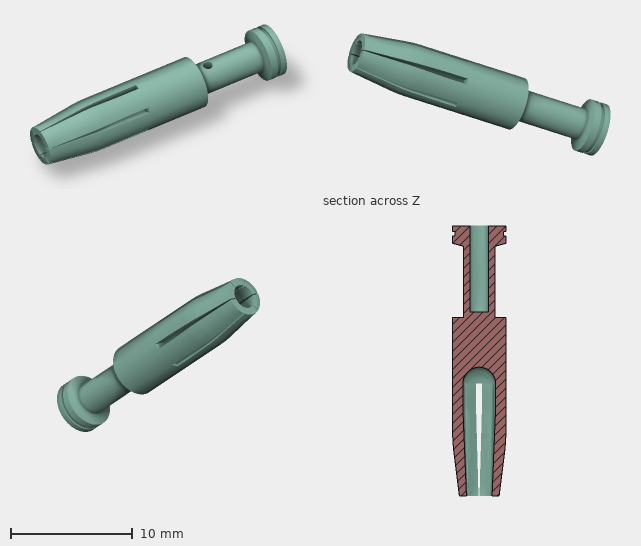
import cadquery as cq
import math

total_length = 22.2

body_diameter = 4.42
groove_diameter = 4.05
stem_diameter = 2.64
mouth_diameter = 3.3

taper_corner_y = 4.5
bend_tangent_length = 0.6
taper_start_y = taper_corner_y + bend_tangent_length
rear_length = 7.5
body_end_y = total_length - rear_length
front_flange_width = 0.62
groove_width = 0.32
rear_flange_width = 0.5
collar_cone_length = 0.25
rear_flange_y = total_length - rear_flange_width
groove_y = rear_flange_y - groove_width
front_flange_y = groove_y - front_flange_width
collar_cone_y = front_flange_y - collar_cone_length

socket_diameter = 2.65
socket_mouth_diameter = 2.06
finger_bend_y = 7.2

slot_count = 6
slot_width = 0.48
slot_mouth_width = 0.085
slot_end_y = 9.25

wire_bore_diameter = 1.5
inspection_hole_diameter = 0.8
inspection_hole_setback = 6.24
inspection_hole_y = total_length - inspection_hole_setback
wire_bore_depth = inspection_hole_setback + inspection_hole_diameter


def revolve_about_y(profile):
    """Turn a closed outline in the ZY plane, Z being the radius, about the Y axis."""
    return profile.close().revolve(360, (0, 0, 0), (0, 1, 0))


def make_outside():
    """Collar, stem and body, with a smooth bend where the body starts to taper to the mouth."""
    body_radius = body_diameter / 2
    mouth_radius = mouth_diameter / 2
    taper_angle = math.atan((body_radius - mouth_radius) / taper_corner_y)
    bend_end_radius = body_radius - bend_tangent_length * math.sin(taper_angle)
    bend_end_y = taper_corner_y - bend_tangent_length * math.cos(taper_angle)
    return revolve_about_y(
        cq.Workplane("ZY")
        .lineTo(mouth_radius, 0)
        .lineTo(bend_end_radius, bend_end_y)
        .tangentArcPoint((body_radius, taper_start_y), relative=False)
        .lineTo(body_radius, body_end_y)
        .lineTo(stem_diameter / 2, body_end_y)
        .lineTo(stem_diameter / 2, collar_cone_y)
        .lineTo(body_radius, front_flange_y)
        .lineTo(body_radius, groove_y)
        .lineTo(groove_diameter / 2, groove_y)
        .lineTo(groove_diameter / 2, rear_flange_y)
        .lineTo(body_radius, rear_flange_y)
        .lineTo(body_radius, total_length)
        .lineTo(0, total_length)
    )


def make_socket_bore():
    """The bore of the socket, closed by a half sphere."""
    radius = socket_diameter / 2
    diagonal = radius * math.sqrt(0.5)
    return revolve_about_y(
        cq.Workplane("ZY")
        .lineTo(socket_mouth_diameter / 2, 0)
        .lineTo(radius, finger_bend_y)
        .lineTo(radius, slot_end_y)
        .threePointArc((diagonal, slot_end_y + diagonal), (0, slot_end_y + radius))
    )


def make_slot(angle):
    """A slot through one wall of the socket, running from the axis outwards along +Z."""
    half_width = slot_width / 2
    half_mouth = slot_mouth_width / 2
    return (
        cq.Workplane("XY")
        .moveTo(-half_mouth, 0)
        .lineTo(half_mouth, 0)
        .lineTo(half_width, finger_bend_y)
        .lineTo(half_width, slot_end_y)
        .lineTo(-half_width, slot_end_y)
        .lineTo(-half_width, finger_bend_y)
        .close()
        .extrude(body_diameter)
        .rotate((0, 0, 0), (0, 1, 0), angle)
    )


def make_wire_bore():
    """A blind bore from the collar end to just past the inspection hole."""
    return (
        cq.Workplane("XZ", origin=(0, total_length, 0))
        .circle(wire_bore_diameter / 2)
        .extrude(wire_bore_depth)
    )


def make_inspection_hole():
    """A radial hole from the top of the stem into the wire bore."""
    return (
        cq.Workplane("XY", origin=(0, inspection_hole_y, 0))
        .circle(inspection_hole_diameter / 2)
        .extrude(stem_diameter)
    )


result = make_outside().cut(make_socket_bore())
for index in range(slot_count):
    result = result.cut(make_slot(index * 360 / slot_count))
result = result.cut(make_wire_bore()).cut(make_inspection_hole())